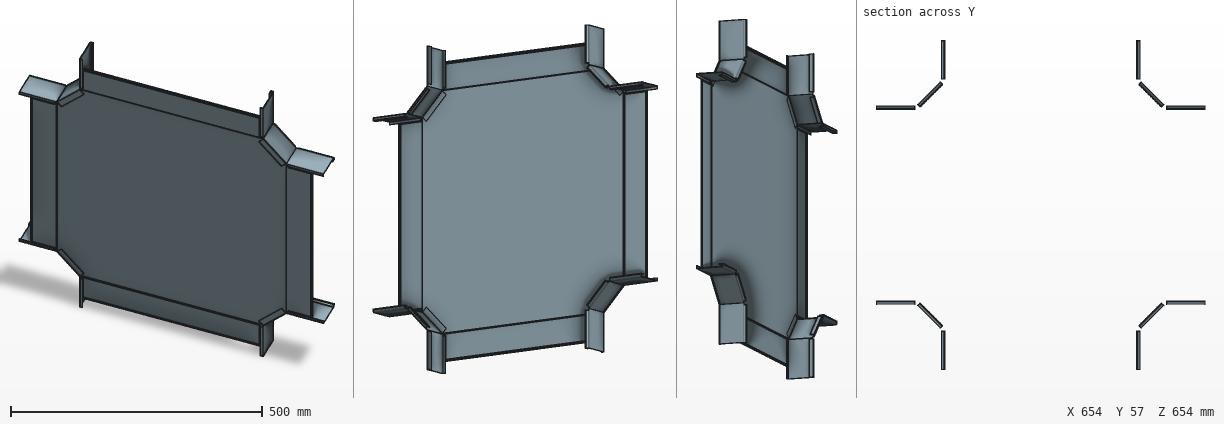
import cadquery as cq
import math


half_span = 327.0
height = 57.0
sheet = 1.5

arm_inner_half = 196.0
arm_half_width = arm_inner_half + sheet
arm_start = 247.0

top_bend = 4.0
lip_width = 7.0
hook_depth = 9.0
arm_flange_width = 6.5
diagonal_flange_width = 14.5
lip_gap = 3.0
flange_gap = 0.5

base_half_length = 303.5
base_arm_half_width = 189.0
shoulder_half_width = 192.0
shoulder_end = 251.0
step_middle = 246.5
step_run = 2.0
end_strip = 4.5

DIAGONAL = math.sqrt(0.5)


def slab(points, y_low, thickness):
    """Flat plate with an outline in X and Z, rising from y_low toward +Y."""
    plane = cq.Workplane("XZ", origin=(0, y_low, 0))
    return plane.polyline(points).close().extrude(-thickness)


def octagon(half_length, half_width):
    """Corners of a square of the given half length, cut at 45 degrees to the half width."""
    a, b = half_length, half_width
    return [(a, b), (b, a), (-b, a), (-a, b), (-a, -b), (-b, -a), (b, -a), (a, -b)]



def base_arm():
    """Arm plate toward +X: a step down from the centre, then a raised strip at its end."""
    step_start = step_middle - step_run / 2
    low_start = step_start + step_run
    strip_start = base_half_length - end_strip
    underside = [
        (step_start, sheet),
        (low_start, 0),
        (strip_start, 0),
        (strip_start + step_run, sheet),
        (base_half_length, sheet),
    ]
    upper_side = [(x, y + sheet) for x, y in reversed(underside)]
    profile = cq.Workplane("XY").polyline(underside + upper_side).close()
    arm = profile.extrude(shoulder_half_width, both=True)

    setback = shoulder_half_width - base_arm_half_width
    edge_length = base_half_length - shoulder_end
    for side in (-1, 1):
        edge = cq.Workplane("XY").box(edge_length, height, setback, centered=(False, True, True))
        edge_z = side * (base_arm_half_width + setback / 2)
        arm = arm.cut(edge.translate((shoulder_end, 0, edge_z)))
    return arm


def make_base():
    centre_half = step_middle - step_run / 2
    edge_sum = arm_start + arm_half_width - sheet / DIAGONAL
    base = slab(octagon(centre_half, edge_sum - centre_half), sheet, sheet)
    arm = base_arm()
    for turn in range(4):
        base = base.union(arm.rotate((0, 0, 0), (0, 1, 0), 90 * turn))
    return base



def section_plane(start, direction, setback):
    """Plane across a wall: local x points into the tray, local y points to +Y."""
    dx, dz = direction
    origin = (start[0] + dx * setback, 0, start[1] + dz * setback)
    return cq.Plane(origin=origin, xDir=(dz, 0, -dx), normal=(dx, 0, dz))


def top_lip(plane, length):
    """Bend at the top of the wall, lip into the tray and turned-down hook."""
    bend_y = height - top_bend
    inner = top_bend - sheet
    outer_mid = top_bend * (1 - DIAGONAL)
    inner_mid = top_bend - inner * DIAGONAL
    return (
        cq.Workplane(plane)
        .moveTo(0, bend_y)
        .threePointArc((outer_mid, height - outer_mid), (top_bend, height))
        .lineTo(lip_width, height)
        .lineTo(lip_width, height - hook_depth)
        .lineTo(lip_width - sheet, height - hook_depth)
        .lineTo(lip_width - sheet, height - sheet)
        .lineTo(top_bend, height - sheet)
        .threePointArc((inner_mid, height - inner_mid), (sheet, bend_y))
        .close()
        .extrude(length)
    )


def bottom_curve(plane, length):
    """Bend from the foot of the wall into the bottom flange, sharp on the inside."""
    outer_mid = sheet * (1 - DIAGONAL)
    return (
        cq.Workplane(plane)
        .moveTo(0, sheet)
        .threePointArc((outer_mid, outer_mid), (sheet, 0))
        .lineTo(sheet, sheet)
        .close()
        .extrude(length)
    )


def bottom_flange(start, direction, near, far, width, near_slant, far_slant):
    """Flange between two distances along a wall; a slanted end recedes by its slant."""
    dx, dz = direction

    def place(along, inward):
        return (start[0] + dx * along + dz * inward, start[1] + dz * along - dx * inward)

    outline = [
        place(near, sheet),
        place(far, sheet),
        place(far - far_slant, width),
        place(near + near_slant, width),
    ]
    return slab(outline, 0, sheet)


def make_corner_wall():
    """Corner wall at -X and +Z: arm wall, diagonal wall and arm wall bent from one sheet."""
    outer = [
        (-half_span, arm_half_width),
        (-arm_start, arm_half_width),
        (-arm_half_width, arm_start),
        (-arm_half_width, half_span),
    ]
    shift = sheet * math.tan(math.pi / 8)
    inner = [
        (-arm_inner_half, half_span),
        (-arm_inner_half, arm_start - shift),
        (-arm_start + shift, arm_inner_half),
        (-half_span, arm_inner_half),
    ]
    wall = slab(outer + inner, sheet, height - top_bend - sheet)

    arm_slant = arm_flange_width - sheet
    widths = [arm_flange_width, diagonal_flange_width, arm_flange_width]
    slants = [(0, arm_slant), (0, 0), (arm_slant, 0)]
    has_relief = [(0, 1), (1, 1), (1, 0)]
    for i in range(3):
        start, end = outer[i], outer[i + 1]
        length = math.dist(start, end)
        direction = ((end[0] - start[0]) / length, (end[1] - start[1]) / length)
        at_start, at_end = has_relief[i]

        lip_near, lip_far = lip_gap * at_start, length - lip_gap * at_end
        lip_plane = section_plane(start, direction, lip_near)
        wall = wall.union(top_lip(lip_plane, lip_far - lip_near))

        near, far = flange_gap * at_start, length - flange_gap * at_end
        curve_plane = section_plane(start, direction, near)
        wall = wall.union(bottom_curve(curve_plane, far - near))
        wall = wall.union(bottom_flange(start, direction, near, far, widths[i], *slants[i]))
    return wall


base = make_base()
corner_wall = make_corner_wall()
corner_walls = [corner_wall.rotate((0, 0, 0), (0, 1, 0), 90 * turn) for turn in range(4)]

result = cq.Compound.makeCompound([base.val(), *[wall.val() for wall in corner_walls]])